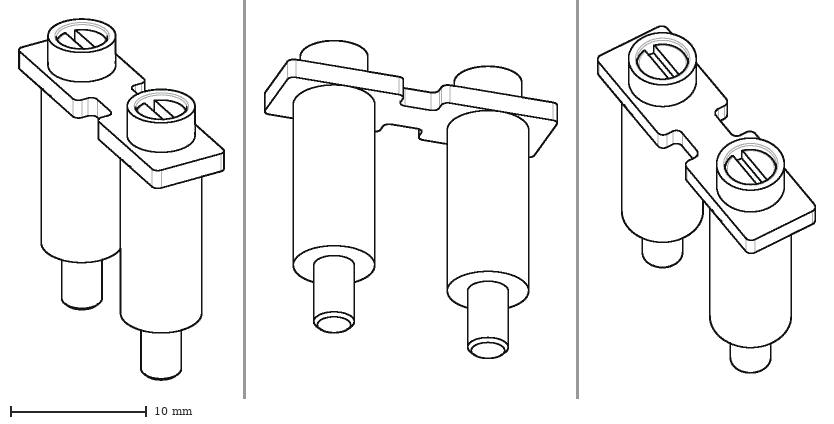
import cadquery as cq

LOBE_LENGTH = 9.0
NECK_LENGTH = 3.0
NECK_WIDTH = 3.0
PLATE_WIDTH = 6.0
PLATE_THICKNESS = 1.5
PLATE_LENGTH = 2 * LOBE_LENGTH + NECK_LENGTH
CORNER_RADIUS = 0.5

SCREW_SPACING = LOBE_LENGTH + NECK_LENGTH
SCREW_POSITIONS = (-SCREW_SPACING / 2, SCREW_SPACING / 2)

COLLAR_DIAMETER = 5.0
COLLAR_HEIGHT = 2.5
BORE_MOUTH_FILLET = 0.11

SLEEVE_DIAMETER = PLATE_WIDTH
SLEEVE_LENGTH = 13.5

HEAD_DIAMETER = 3.78
HEAD_RECESS = 0.5
HEAD_HEIGHT = COLLAR_HEIGHT - HEAD_RECESS
HEAD_FILLET = 0.15
SLOT_WIDTH = 0.85
SLOT_DEPTH = 1.0
SHANK_DIAMETER = 3.0
TIP_PROJECTION = 5.0
TIP_CHAMFER = 0.27
SHANK_LENGTH = PLATE_THICKNESS + SLEEVE_LENGTH + TIP_PROJECTION


def make_plate():
    """Flat bridge with a notch on each long side and a shank hole in each lobe."""
    notch_depth = (PLATE_WIDTH - NECK_WIDTH) / 2
    notch_centre = (PLATE_WIDTH - notch_depth) / 2
    blank = cq.Workplane("XY").box(
        PLATE_LENGTH, PLATE_WIDTH, PLATE_THICKNESS, centered=(True, True, False)
    )
    notches = (
        cq.Workplane("XY")
        .pushPoints([(0, -notch_centre), (0, notch_centre)])
        .rect(NECK_LENGTH, notch_depth)
        .extrude(PLATE_THICKNESS)
    )
    outline = blank.cut(notches).edges("|Z").fillet(CORNER_RADIUS)
    holes = (
        cq.Workplane("XY")
        .pushPoints([(x, 0) for x in SCREW_POSITIONS])
        .circle(SHANK_DIAMETER / 2)
        .extrude(PLATE_THICKNESS)
    )
    return outline.cut(holes).translate((0, 0, -PLATE_THICKNESS))


def make_collar(x):
    """Ring standing on the plate, with a small rounding at the mouth of its bore."""
    ring = (
        cq.Workplane("XY")
        .circle(COLLAR_DIAMETER / 2)
        .circle(HEAD_DIAMETER / 2)
        .extrude(COLLAR_HEIGHT)
    )
    bore_mouth = cq.selectors.RadiusNthSelector(0)
    return ring.faces(">Z").edges(bore_mouth).fillet(BORE_MOUTH_FILLET).translate((x, 0, 0))


def make_sleeve(x):
    """Plain tube under the plate."""
    tube = (
        cq.Workplane("XY")
        .circle(SLEEVE_DIAMETER / 2)
        .circle(SHANK_DIAMETER / 2)
        .extrude(-SLEEVE_LENGTH)
    )
    return tube.translate((x, 0, -PLATE_THICKNESS))


def make_screw(x):
    """Screw with a rounded, slotted head and a chamfered tip."""
    head = (
        cq.Workplane("XY")
        .circle(HEAD_DIAMETER / 2)
        .extrude(HEAD_HEIGHT)
        .faces(">Z")
        .edges()
        .fillet(HEAD_FILLET)
    )
    slot = (
        cq.Workplane("XY", origin=(0, 0, HEAD_HEIGHT))
        .rect(HEAD_DIAMETER, SLOT_WIDTH)
        .extrude(-SLOT_DEPTH)
    )
    shank = (
        cq.Workplane("XY")
        .circle(SHANK_DIAMETER / 2)
        .extrude(-SHANK_LENGTH)
        .faces("<Z")
        .chamfer(TIP_CHAMFER)
    )
    return head.cut(slot).union(shank).translate((x, 0, 0))


plate = make_plate()
collars = [make_collar(x) for x in SCREW_POSITIONS]
sleeves = [make_sleeve(x) for x in SCREW_POSITIONS]
screws = [make_screw(x) for x in SCREW_POSITIONS]

bodies = [plate, *collars, *sleeves, *screws]
result = cq.Compound.makeCompound([body.val() for body in bodies])